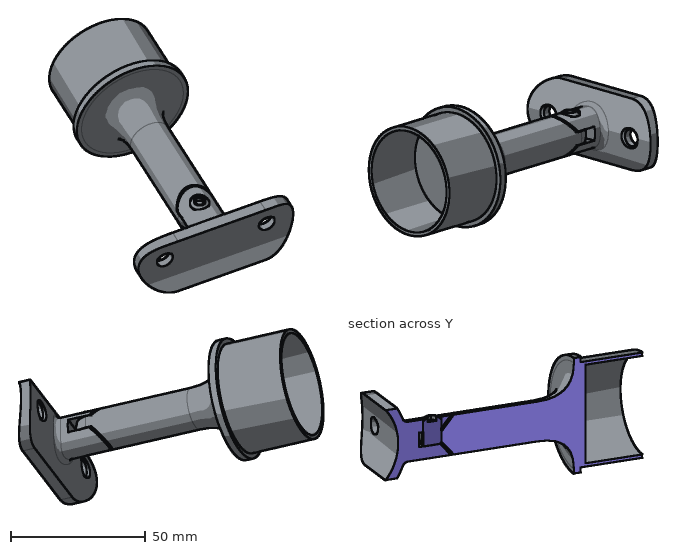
import cadquery as cq
import math

OVERALL_LENGTH = 105.3

SPIGOT_DIAMETER = 42.0
SPIGOT_BORE = 39.0
SPIGOT_LENGTH = 25.2
BORE_DEPTH = 23.2
FLANGE_DIAMETER = 46.0
FLANGE_THICKNESS = 3.0
FLANGE_END = SPIGOT_LENGTH + FLANGE_THICKNESS
FLARE_RADIUS = 21.1
FLARE_END = 43.1
STEM_DIAMETER = 16.0
STEM_RADIUS = STEM_DIAMETER / 2

PIVOT_X = 86.1
TONGUE_THICKNESS = 5.1
TONGUE_TIP = 89.8
TONGUE_ROUNDING = 5.7
SLOT_WIDTH = 5.5
SLOT_FLOOR = 91.3
FORK_OUTER_X = 78.1
FORK_INNER_X = 82.6
JOINT_GAP = 0.8

RAIL_RADIUS = 21.4
PLATE_THICKNESS = 3.9
PLATE_LENGTH = 64.0
PLATE_HEIGHT = 27.9
SADDLE_RADIUS = RAIL_RADIUS + PLATE_THICKNESS
RAIL_AXIS_X = OVERALL_LENGTH + math.sqrt(RAIL_RADIUS**2 - (PLATE_HEIGHT / 2) ** 2)
SADDLE_FILLET = 2.1
MOUNT_HOLE_DIAMETER = 6.5
COUNTERSINK_DEPTH = 1.0
MOUNT_HOLE_Y = 21.1

SCREW_DIAMETER = 7.4
SCREW_TOP = 8.3
SCREW_FLAT_DIAMETER = 4.4
SCREW_SHOULDER = 7.1
SCREW_BULGE = 0.1
SOCKET_WIDTH = 3.4
SOCKET_DEPTH = 1.7
SOCKET_TURN = 45.0


def x_cylinder(diameter, start, end):
    """Cylinder on the main axis between two X positions."""
    return cq.Workplane("YZ", origin=(start, 0, 0)).circle(diameter / 2).extrude(end - start)


def screw_hole():
    """Cutter for the screw's seat, from the lower face of the slot up past the fork."""
    return (
        cq.Workplane("XY", origin=(PIVOT_X, 0, -SLOT_WIDTH / 2))
        .circle(SCREW_DIAMETER / 2)
        .extrude(STEM_DIAMETER)
    )


def make_stem_turning():
    """Hollow spigot, flange, flare and round-ended stem revolved about the main axis."""
    profile = (
        cq.Workplane("XY")
        .moveTo(0, SPIGOT_BORE / 2)
        .lineTo(0, SPIGOT_DIAMETER / 2)
        .lineTo(SPIGOT_LENGTH, SPIGOT_DIAMETER / 2)
        .lineTo(SPIGOT_LENGTH, FLANGE_DIAMETER / 2)
        .lineTo(FLANGE_END, FLANGE_DIAMETER / 2)
        .lineTo(FLANGE_END, FLARE_RADIUS)
        .bezier(
            [(FLANGE_END, FLARE_RADIUS), (FLANGE_END, STEM_RADIUS), (FLARE_END, STEM_RADIUS)]
        )
        .lineTo(TONGUE_TIP - TONGUE_ROUNDING, STEM_RADIUS)
        .radiusArc((TONGUE_TIP, STEM_RADIUS - TONGUE_ROUNDING), TONGUE_ROUNDING)
        .lineTo(TONGUE_TIP, 0)
        .lineTo(BORE_DEPTH, 0)
        .lineTo(BORE_DEPTH, SPIGOT_BORE / 2)
        .close()
    )
    return profile.revolve(360, (0, 0, 0), (1, 0, 0))


def jaw_space(side, shift, half_slot):
    """Region beyond the sloping joint face on one side (+1 top, -1 bottom) of the tongue."""
    slope = (FORK_INNER_X - FORK_OUTER_X) / (STEM_RADIUS - SLOT_WIDTH / 2)
    reach = STEM_DIAMETER
    inner_x = FORK_INNER_X + slope * (SLOT_WIDTH / 2 - half_slot) - shift
    outer_x = inner_x - slope * (reach - half_slot)
    return (
        cq.Workplane("XZ")
        .polyline(
            [
                (inner_x, side * half_slot),
                (outer_x, side * reach),
                (OVERALL_LENGTH, side * reach),
                (OVERALL_LENGTH, side * half_slot),
            ]
        )
        .close()
        .extrude(reach, both=True)
    )


def make_stem():
    """Turned stem with its end cut down to the flat tongue and pierced for the screw."""
    stem = make_stem_turning()
    for side in (1, -1):
        stem = stem.cut(jaw_space(side, JOINT_GAP, TONGUE_THICKNESS / 2))
    return stem.cut(screw_hole())


def make_saddle_plate():
    """Stadium-shaped plate curved around the rail axis, which runs along Y."""
    tube = (
        cq.Workplane("XZ", origin=(RAIL_AXIS_X, 0, 0))
        .circle(SADDLE_RADIUS)
        .circle(RAIL_RADIUS)
        .extrude(PLATE_LENGTH, both=True)
    )
    outline = (
        cq.Workplane("YZ", origin=(RAIL_AXIS_X - SADDLE_RADIUS, 0, 0))
        .slot2D(PLATE_LENGTH, PLATE_HEIGHT)
        .extrude(SADDLE_RADIUS)
    )
    return tube.intersect(outline)


def make_mount_hole(y):
    """Through hole with a shallow 45 degree countersink on the stem side."""
    start = RAIL_AXIS_X - SADDLE_RADIUS
    radius = MOUNT_HOLE_DIAMETER / 2
    profile = (
        cq.Workplane("XY")
        .moveTo(start, 0)
        .lineTo(start, radius + COUNTERSINK_DEPTH)
        .lineTo(start + COUNTERSINK_DEPTH, radius)
        .lineTo(OVERALL_LENGTH, radius)
        .lineTo(OVERALL_LENGTH, 0)
        .close()
    )
    return profile.revolve(360, (0, 0, 0), (1, 0, 0)).translate((0, y, 0))


def make_mount():
    """Saddle plate with the fork that straddles the tongue."""
    neck_end = RAIL_AXIS_X - RAIL_RADIUS - PLATE_THICKNESS / 2
    mount = make_saddle_plate().union(x_cylinder(STEM_DIAMETER, SLOT_FLOOR, neck_end))
    margin = SADDLE_FILLET / 2
    root = mount.edges(
        cq.selectors.BoxSelector(
            (SLOT_FLOOR + margin, -STEM_DIAMETER, -STEM_RADIUS - margin),
            (neck_end, STEM_DIAMETER, STEM_RADIUS + margin),
        )
    )
    mount = root.fillet(SADDLE_FILLET)
    fork = x_cylinder(STEM_DIAMETER, FORK_OUTER_X, SLOT_FLOOR)
    for side in (1, -1):
        mount = mount.union(fork.intersect(jaw_space(side, 0, SLOT_WIDTH / 2)))
    for y in (-MOUNT_HOLE_Y, MOUNT_HOLE_Y):
        mount = mount.cut(make_mount_hole(y))
    return mount.cut(screw_hole())


def make_screw():
    """Round-headed pivot screw with a hexagon socket."""
    flat_radius = SCREW_FLAT_DIAMETER / 2
    radius = SCREW_DIAMETER / 2
    middle = (
        (flat_radius + radius) / 2 + SCREW_BULGE,
        (SCREW_TOP + SCREW_SHOULDER) / 2 + SCREW_BULGE,
    )
    body = (
        cq.Workplane("XZ")
        .moveTo(0, -SLOT_WIDTH / 2)
        .lineTo(radius, -SLOT_WIDTH / 2)
        .lineTo(radius, SCREW_SHOULDER)
        .threePointArc(middle, (flat_radius, SCREW_TOP))
        .lineTo(0, SCREW_TOP)
        .close()
        .revolve(360, (0, 0, 0), (0, 1, 0))
    )
    socket = (
        cq.Workplane("XY", origin=(0, 0, SCREW_TOP - SOCKET_DEPTH))
        .polygon(6, SOCKET_WIDTH, circumscribed=True)
        .extrude(SOCKET_DEPTH)
        .rotate((0, 0, 0), (0, 0, 1), SOCKET_TURN)
    )
    return body.cut(socket).translate((PIVOT_X, 0, 0))


stem = make_stem()
mount = make_mount()
screw = make_screw()

result = cq.Compound.makeCompound([stem.solids().val(), mount.solids().val(), screw.solids().val()])